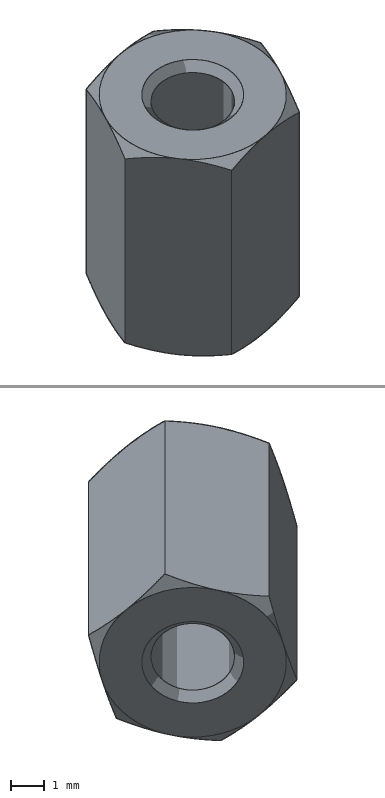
import cadquery as cq
import math

length = 8.0
across_flats = 5.51
bore_diameter = 2.46
countersink_diameter = 3.0
corner_chamfer_angle = 30.0

side_count = 6
half_side_angle = 180 / side_count
across_corners = across_flats / math.cos(math.radians(half_side_angle))


def round_bar(end_radius, middle_radius, taper_depth):
    """Full-length round solid whose radius changes conically near both ends."""
    profile = [
        (0, 0),
        (end_radius, 0),
        (middle_radius, taper_depth),
        (middle_radius, length - taper_depth),
        (end_radius, length),
        (0, length),
    ]
    return cq.Workplane("XZ").polyline(profile).close().revolve(360, (0, 0), (0, 1))


def hex_body():
    """Hexagonal prism turned so that two corners lie on the Y axis."""
    prism = cq.Workplane("XY").polygon(side_count, across_corners).extrude(length)
    return prism.rotate((0, 0, 0), (0, 0, 1), half_side_angle)


def chamfer_envelope():
    """Bar with conical ends that trims the hexagon's corners."""
    face_radius = across_flats / 2
    corner_radius = across_corners / 2
    drop = (corner_radius - face_radius) * math.tan(math.radians(corner_chamfer_angle))
    return round_bar(face_radius, corner_radius, drop)


def countersunk_bore():
    """Through bore, flared at 45 degrees at both ends."""
    bore_radius = bore_diameter / 2
    mouth_radius = countersink_diameter / 2
    return round_bar(mouth_radius, bore_radius, mouth_radius - bore_radius)


result = hex_body().intersect(chamfer_envelope()).cut(countersunk_bore())